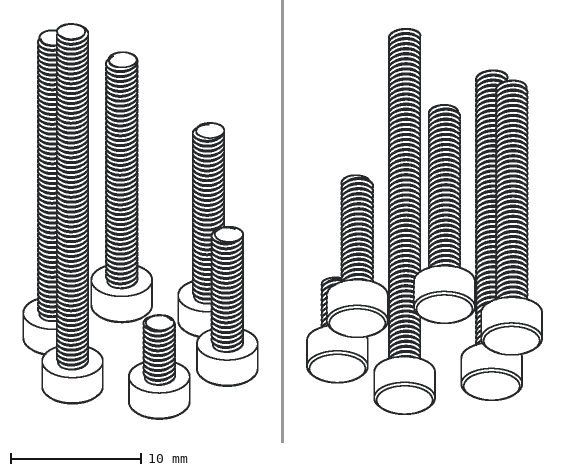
import cadquery as cq
import math

overall_height = 32.5
head_diameter = 4.68
head_height = 2.5
head_chamfer = 0.2

screw_count = 6
longest_shank = overall_height - head_height
length_step = longest_shank / screw_count

crest_diameter = 2.45
root_diameter = 1.92
turns_on_longest_shank = 66.7
pitch = longest_shank / turns_on_longest_shank
crest_width = pitch / 8
flank_half_angle = 30
thread_start_angle = 128

ring_radius = 7.005
steps_of_first_screw = 2
ring_angle_step = 360 / screw_count

crest_radius = crest_diameter / 2
root_radius = root_diameter / 2
flank_height = (crest_radius - root_radius) * math.tan(math.radians(flank_half_angle))
root_width = pitch - crest_width - 2 * flank_height


def lifted(shape, height):
    return shape.moved(cq.Location(cq.Vector(0, 0, height)))


def thread_profile():
    """Radius and height of the thread's corners over one pitch: root, flank, crest, flank."""
    flank_bottom = root_width
    crest_bottom = flank_bottom + flank_height
    crest_top = crest_bottom + crest_width
    return [
        (root_radius, 0),
        (root_radius, flank_bottom),
        (crest_radius, crest_bottom),
        (crest_radius, crest_top),
        (root_radius, pitch),
    ]


def endless_rod(turns):
    """Solid of whole thread turns, closed at each end by a helical floor and a radial step."""
    profile = thread_profile()
    helices = [
        lifted(cq.Wire.makeHelix(pitch, pitch, radius).Edges()[0], height)
        for radius, height in profile
    ]
    strips = [cq.Face.makeRuledSurface(lower, upper) for lower, upper in zip(helices, helices[1:])]
    faces = [lifted(strip, turn * pitch) for turn in range(turns) for strip in strips]

    axis_bottom = cq.Vector(0, 0, 0)
    axis_top = cq.Vector(0, 0, pitch)
    floor = cq.Face.makeRuledSurface(helices[0], cq.Edge.makeLine(axis_bottom, axis_top))
    corners = [cq.Vector(radius, 0, height) for radius, height in profile]
    step = cq.Face.makeFromWires(cq.Wire.makePolygon([axis_bottom, *corners, axis_top], close=True))
    for end_face in (floor, step):
        faces += [end_face, lifted(end_face, turns * pitch)]
    return cq.Solid.makeSolid(cq.Shell.makeShell(faces))


def threaded_shank(length):
    """Threaded rod with flat ends, standing on the head."""
    spare_turns = 2
    rod = lifted(endless_rod(math.ceil(length / pitch) + spare_turns), -pitch)
    rod = rod.rotate(cq.Vector(0, 0, 0), cq.Vector(0, 0, 1), thread_start_angle)
    stock = cq.Workplane("XY").circle(crest_diameter).extrude(length)
    return stock.intersect(cq.Workplane(rod)).translate((0, 0, head_height))


def head():
    """Cylindrical head with a chamfered bottom rim."""
    blank = cq.Workplane("XY").circle(head_diameter / 2).extrude(head_height)
    return blank.faces("<Z").edges().chamfer(head_chamfer)


def screw(shank_length):
    return head().union(threaded_shank(shank_length))


screws = []
for position in range(screw_count):
    steps = (position + steps_of_first_screw - 1) % screw_count + 1
    ring_angle = math.radians(position * ring_angle_step)
    place = (ring_radius * math.cos(ring_angle), ring_radius * math.sin(ring_angle), 0)
    screws.append(screw(steps * length_step).translate(place).val())

result = cq.Compound.makeCompound(screws)